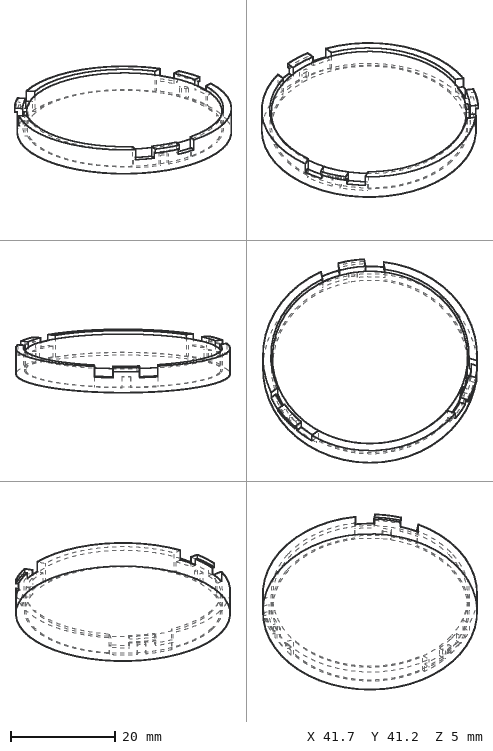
import cadquery as cq

outer_radius = 20.6
height = 5.0
floor_thickness = 0.85
bore_radius = 19.05

tab_count = 3
first_tab_angle = -7.5
tab_width = 5.1
flange_radius = 21.1
flange_thickness = 0.85

notch_width = 12.15
notch_depth = 2.1
relief_radius = 19.5
rib_width = 1.65

disc_radius = 18.75
disc_top = 4.37

notch_floor = height - notch_depth
tab_angles = [first_tab_angle + i * 360 / tab_count for i in range(tab_count)]


def ring(inner, outer, bottom, top):
    """Annular prism about Z."""
    return cq.Workplane("XY").workplane(offset=bottom).circle(outer).circle(inner).extrude(top - bottom)


def radial_strip(width, angle):
    """Parallel-sided strip running outward from the axis at the given angle."""
    strip = cq.Workplane("XY").box(2 * outer_radius, width, height, centered=(False, True, False))
    return strip.rotate((0, 0, 0), (0, 0, 1), angle)


def make_housing():
    housing = ring(bore_radius, outer_radius, 0, height)
    housing = housing.union(cq.Workplane("XY").circle(outer_radius).extrude(floor_thickness))

    relief = ring(disc_radius, relief_radius, floor_thickness, height)
    notch = ring(disc_radius, flange_radius, notch_floor, height)
    stem = ring(relief_radius, outer_radius, notch_floor, height)
    flange = ring(relief_radius, flange_radius, height - flange_thickness, height)
    rib = ring(disc_radius, relief_radius, floor_thickness, notch_floor)
    tab = stem.union(flange)

    for angle in tab_angles:
        opening = radial_strip(notch_width, angle)
        housing = housing.cut(relief.intersect(opening)).cut(notch.intersect(opening))
        housing = housing.union(tab.intersect(radial_strip(tab_width, angle)))
        housing = housing.union(rib.intersect(radial_strip(rib_width, angle)))
    return housing


def make_disc():
    disc_base = cq.Workplane("XY").workplane(offset=floor_thickness)
    return disc_base.circle(disc_radius).extrude(disc_top - floor_thickness)


housing = make_housing()
disc = make_disc()
result = cq.Compound.makeCompound([housing.val(), disc.val()])